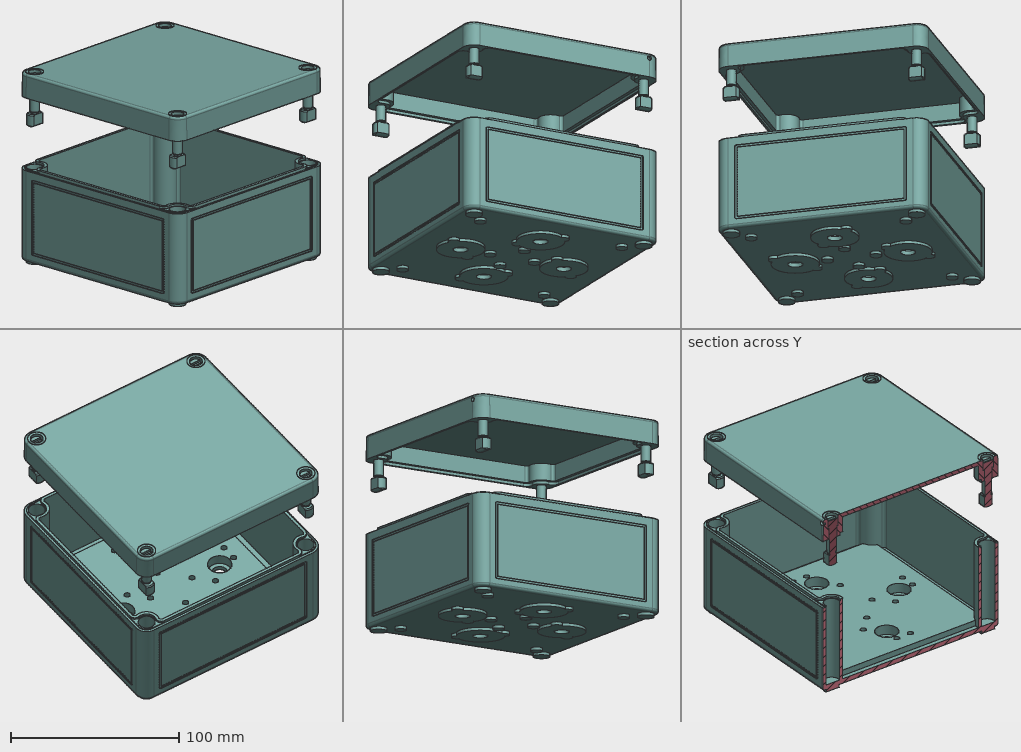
import cadquery as cq
import math

side = 130.0
corner_radius = 7.5
total_height = 119.7
wall = 3.4
half_side = side / 2
screw_offset = half_side - corner_radius
quadrants = [(-1, -1), (-1, 1), (1, -1), (1, 1)]
corners = [(sx * screw_offset, sy * screw_offset) for sx, sy in quadrants]

foot_height = 1.8
ledge_z = 59.0
lip_height = 1.8
ledge_width = 1.5
pad_height = 0.6
bottom_fillet = 1.8
lip_z = ledge_z + lip_height
lip_half = half_side - ledge_width
cavity_half = half_side - wall
lip_width = lip_half - cavity_half
well_radius = 5.0
lip_arc_radius = 5.7
lip_bend_radius = 3.5

floor_z = 5.2
platform_z = 9.0
platform_half = 56.0
knockout_offset = 35.0
knockout_radius = 7.2
knockout_boss_radius = 14.4
knockout_depth = 6.4
knockout_hole_radius = 4.5
pin_hole_radius = 1.8
pin_boss_radius = 3.5
pin_holes = [(10, -10), (0, -20), (0, 10), (-10, 10)]
corner_boss_offset = 48.0

panel_half = 53.2
panel_bottom = 7.1
panel_top = 54.1
groove_width = 1.4
groove_depth = 0.7
groove_corner_radius = 1.0

lid_height = 15.0
lid_draft = 0.8
lid_fillet = 1.6
lid_roof = 3.0
lid_bottom = total_height - lid_height
rim_clearance = 0.2
dimple_radius = 1.3
dimple_depth = 2.0
dimple_drop = 3.0
seat_radius = 5.4
seat_depth = 0.3

head_radius = 3.8
head_recess = 2.2
head_top = total_height - head_recess
head_height = 5.0
slot_width = 2.4
slot_depth = 1.5
shaft_radius = 3.0
shaft_end = 94.6
neck_radius = 2.5
key_top = 93.8
key_bottom = 86.0
key_radius = 4.9
key_chamfer = 0.7
key_sag = 0.9
shaft_chamfer = 0.4


def rounded_block(half, radius, bottom, top):
    block = cq.Workplane("XY").workplane(offset=bottom).rect(2 * half, 2 * half).extrude(top - bottom)
    return block.edges("|Z").fillet(radius)


def cylinder(x, y, radius, bottom, top):
    return cq.Workplane("XY").workplane(offset=bottom).center(x, y).circle(radius).extrude(top - bottom)


def scalloped_block(inset, bottom, top):
    """Square block whose corners are cut back around the screw wells, inset from the lip's outer face."""
    half = lip_half - inset
    arc = lip_arc_radius + inset
    bend = lip_bend_radius - inset
    bend_depth = half - bend
    rise = screw_offset - bend_depth
    straight = screw_offset - math.sqrt((arc + bend) ** 2 - rise**2)
    touch = arc / (arc + bend)
    touch_near = screw_offset - touch * (screw_offset - straight)
    touch_far = screw_offset - touch * rise
    tilt = math.atan2(touch_near - straight, touch_far - bend_depth) / 2
    bend_near = straight + bend * math.sin(tilt)
    bend_far = bend_depth + bend * math.cos(tilt)
    arc_middle = screw_offset - arc / math.sqrt(2)

    def turned(x, y, quarter):
        for _ in range(quarter):
            x, y = -y, x
        return x, y

    outline = cq.Workplane("XY").workplane(offset=bottom).moveTo(half, -straight)
    for quarter in range(4):
        outline = outline.lineTo(*turned(half, straight, quarter))
        outline = outline.threePointArc(
            turned(bend_far, bend_near, quarter), turned(touch_far, touch_near, quarter)
        )
        outline = outline.threePointArc(
            turned(arc_middle, arc_middle, quarter), turned(touch_near, touch_far, quarter)
        )
        outline = outline.threePointArc(turned(bend_near, bend_far, quarter), turned(straight, half, quarter))
    return outline.close().extrude(top - bottom)


def panel_groove():
    """Rectangular groove in the -Y face."""
    width = 2 * panel_half
    height = panel_top - panel_bottom
    face = cq.Workplane("XZ", origin=(0, -half_side + groove_depth, (panel_top + panel_bottom) / 2))
    outer = face.rect(width, height).extrude(groove_depth).edges("|Y").fillet(groove_corner_radius)
    inner = face.rect(width - 2 * groove_width, height - 2 * groove_width).extrude(groove_depth)
    return outer.cut(inner)


def knockout_bosses():
    """Feet under the knockout at +Y and under its pin holes."""
    bosses = cylinder(0, knockout_offset, knockout_boss_radius, 0, foot_height)
    for x, y in pin_holes:
        bosses = bosses.union(cylinder(x, knockout_offset + y, pin_boss_radius, 0, foot_height))
    return bosses


def knockout_holes():
    """Stepped knockout hole at +Y and its blind pin holes."""
    pocket_bottom = platform_z - knockout_depth
    holes = cylinder(0, knockout_offset, knockout_radius, pocket_bottom, platform_z)
    holes = holes.union(cylinder(0, knockout_offset, knockout_hole_radius, 0, pocket_bottom))
    for x, y in pin_holes:
        holes = holes.union(cylinder(x, knockout_offset + y, pin_hole_radius, pocket_bottom, platform_z))
    return holes


def floor_platform():
    platform = cq.Workplane("XY").workplane(offset=floor_z).rect(2 * platform_half, 2 * platform_half)
    platform = platform.extrude(platform_z - floor_z)
    return platform.intersect(scalloped_block(lip_width, floor_z, platform_z))


def make_base():
    base = rounded_block(half_side, corner_radius, foot_height, ledge_z)
    base = base.faces("<Z").edges().fillet(bottom_fillet)
    base = base.union(rounded_block(lip_half, corner_radius - ledge_width, ledge_z, ledge_z + pad_height))
    base = base.union(scalloped_block(0, ledge_z, lip_z))
    base = base.cut(scalloped_block(lip_width, floor_z, lip_z))
    base = base.union(floor_platform())
    for sx, sy in quadrants:
        x, y = sx * screw_offset, sy * screw_offset
        base = base.union(cylinder(x, y, well_radius, 0, foot_height))
        base = base.cut(cylinder(x, y, well_radius, floor_z, lip_z))
        boss_x, boss_y = sx * corner_boss_offset, sy * corner_boss_offset
        base = base.union(cylinder(boss_x, boss_y, pin_boss_radius, 0, foot_height))
    for quarter in range(4):
        turn = ((0, 0, 0), (0, 0, 1), 90 * quarter)
        base = base.union(knockout_bosses().rotate(*turn))
        base = base.cut(knockout_holes().rotate(*turn))
        base = base.cut(panel_groove().rotate(*turn))
    return base


def make_lid():
    lid = (
        cq.Workplane("XY").workplane(offset=lid_bottom)
        .sketch().rect(side, side).vertices().fillet(corner_radius).finalize()
        .extrude(lid_height, taper=lid_draft)
    )
    lid = lid.faces(">Z").edges().fillet(lid_fillet)
    lid = lid.cut(scalloped_block(-rim_clearance, lid_bottom, lid_bottom + lip_height))
    lid = lid.cut(scalloped_block(lip_width, lid_bottom, total_height - lid_roof))
    for x, y in corners:
        lid = lid.cut(cylinder(x, y, seat_radius, total_height - seat_depth, total_height))
        lid = lid.cut(cylinder(x, y, head_radius, head_top - head_height, total_height))
        lid = lid.cut(cylinder(x, y, shaft_radius, lid_bottom, total_height))
    dimple = (
        cq.Workplane("YZ", origin=(-half_side, -screw_offset, total_height - dimple_drop))
        .circle(dimple_radius).extrude(dimple_depth)
    )
    return lid.cut(dimple)


def make_screw(x, y):
    head_bottom = head_top - head_height
    screw = cylinder(x, y, head_radius, head_bottom, head_top)
    slot = cq.Workplane("XY", origin=(x, y, head_top - slot_depth)).rect(2 * head_radius, slot_width)
    screw = screw.cut(slot.extrude(slot_depth))
    shaft = cylinder(x, y, shaft_radius, shaft_end, head_bottom).faces("<Z").chamfer(shaft_chamfer)
    neck = cylinder(x, y, neck_radius, key_top, shaft_end)
    key_height = key_top - key_bottom
    slab = (
        cq.Workplane("XZ", origin=(x, y, key_bottom))
        .moveTo(-shaft_radius, key_sag)
        .threePointArc((0, 0), (shaft_radius, key_sag))
        .lineTo(shaft_radius, key_height)
        .lineTo(-shaft_radius, key_height)
        .close().extrude(key_radius, both=True)
    )
    key = cylinder(x, y, key_radius, key_bottom, key_top).edges().chamfer(key_chamfer).intersect(slab)
    return screw.union(shaft).union(neck).union(key)


base = make_base()
lid = make_lid()
screws = [make_screw(x, y) for x, y in corners]
result = cq.Compound.makeCompound([base.val(), lid.val(), *[screw.val() for screw in screws]])